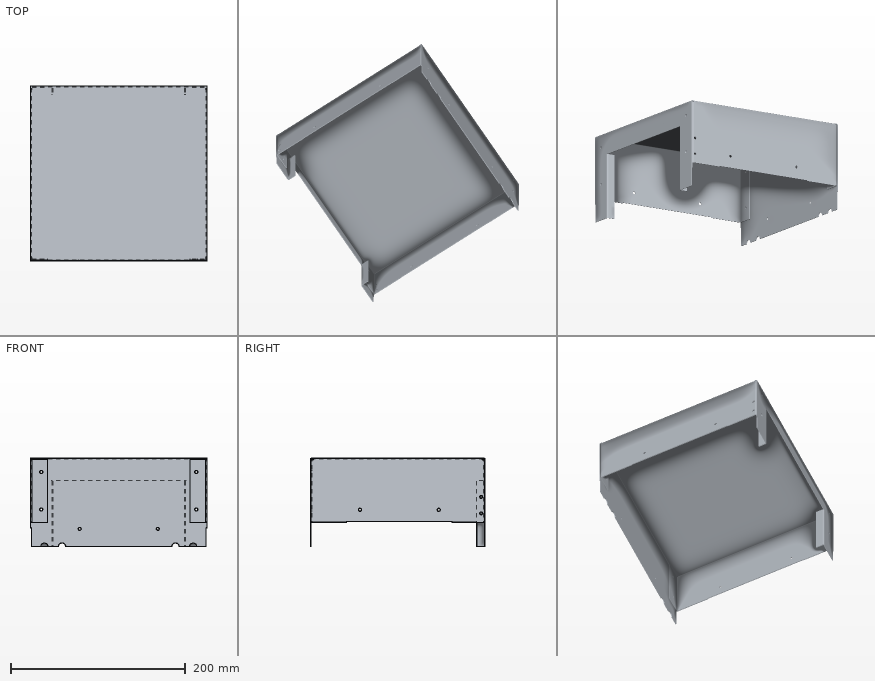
import cadquery as cq

LENGTH_X = 202.0
LENGTH_Y = 200.0
HEIGHT = 101.0

SHEET = 1.0
BEND_OUTER = 1.6
BEND_INNER = BEND_OUTER - SHEET

HALF_X = LENGTH_X / 2
HALF_Y = LENGTH_Y / 2

SIDE_BOTTOM = 27.7
TAB_WIDTH = 19.5
CORNER_RELIEF = 3.2
RECESS_LENGTH = 120.5
RECESS_DEPTH = 0.8
SIDE_CENTRE_Y = 1.8

PLATE_STEP_Z = 21.5
PLATE_STEP_INSET = 1.0

BACK_FRAME = 25.7
FLANGE_DEPTH = 9.9

SCREW_DIAMETER = 3.2
SCREW_INSET = 12.3
SCREW_HEIGHTS = (42.5, 85.3)
PILOT_DIAMETER = 3.0
PILOT_X = 44.6
PILOT_Z = 20.2
SIDE_HOLE_SPACING = 90.0
SIDE_HOLE_Z = 42.0
REAR_HOLE_INSET = 4.6
REAR_HOLE_HEIGHTS = (38.0, 56.8)

NOTCH_DIAMETER = 8.0
NOTCH_INSETS = (16.0, 36.2)


def block(x_range, y_range, z_range):
    """Box spanning the given (low, high) ranges."""
    sizes = [high - low for low, high in (x_range, y_range, z_range)]
    corner = (x_range[0], y_range[0], z_range[0])
    return cq.Workplane("XY").box(*sizes, centered=False).translate(corner)


def rod_x(diameter, y, z, x_range):
    """Cylinder along X."""
    length = x_range[1] - x_range[0]
    return cq.Workplane("YZ", origin=(x_range[0], y, z)).circle(diameter / 2).extrude(length)


def rod_y(diameter, x, z, y_range):
    """Cylinder along Y."""
    length = y_range[1] - y_range[0]
    return cq.Workplane("XZ", origin=(x, y_range[1], z)).circle(diameter / 2).extrude(length)


def roof_and_side_walls():
    """Top sheet with both side walls folded down, short of the plate corners."""
    half_depth = HALF_Y - CORNER_RELIEF
    outer = block((-HALF_X, HALF_X), (-half_depth, half_depth), (SIDE_BOTTOM, HEIGHT))
    outer = outer.edges("|Y and >Z").fillet(BEND_OUTER)
    inner_half_x = HALF_X - SHEET
    inner = block((-inner_half_x, inner_half_x), (-half_depth, half_depth), (SIDE_BOTTOM, HEIGHT - SHEET))
    inner = inner.edges("|Y and >Z").fillet(BEND_INNER)
    return outer.cut(inner)


def side_tabs():
    """Vertical folds of the side walls, lying against the plates from inside."""
    z_range = (SIDE_BOTTOM, HEIGHT - BEND_OUTER)
    half_depth = HALF_Y - SHEET
    outer = block((-HALF_X, HALF_X), (-half_depth, half_depth), z_range)
    outer = outer.edges("|Z").fillet(BEND_OUTER)
    inner_half_x = HALF_X - SHEET
    inner_half_y = half_depth - SHEET
    inner = block((-inner_half_x, inner_half_x), (-inner_half_y, inner_half_y), z_range)
    inner = inner.edges("|Z").fillet(BEND_INNER)
    gap_half_x = HALF_X - TAB_WIDTH
    gap = block((-gap_half_x, gap_half_x), (-half_depth, half_depth), z_range)
    return outer.cut(inner).cut(gap)


def front_and_back_plates():
    """Plates bent down from the top sheet, slightly narrower below the side walls."""
    outer = block((-HALF_X, HALF_X), (-HALF_Y, HALF_Y), (0, HEIGHT))
    outer = outer.edges("|X and >Z").fillet(BEND_OUTER)
    inner_half_y = HALF_Y - SHEET
    inner = block((-HALF_X, HALF_X), (-inner_half_y, inner_half_y), (0, HEIGHT - SHEET))
    inner = inner.edges("|X and >Z").fillet(BEND_INNER)
    roof_half_y = HALF_Y - CORNER_RELIEF
    roof = block((-HALF_X, HALF_X), (-roof_half_y, roof_half_y), (0, HEIGHT))
    plates = outer.cut(inner).cut(roof)
    for low_x in (-HALF_X, HALF_X - PLATE_STEP_INSET):
        step = block((low_x, low_x + PLATE_STEP_INSET), (-HALF_Y, HALF_Y), (0, PLATE_STEP_Z))
        plates = plates.cut(step)
    return plates


def framed_back(body):
    """Open the back plate and fold a flange inward along each upright edge."""
    half_open = HALF_X - BACK_FRAME
    z_range = (0, HEIGHT - BACK_FRAME)
    opening = block((-half_open, half_open), (HALF_Y - SHEET, HALF_Y), z_range)
    body = body.cut(opening)

    bend_end = half_open + 2 * BEND_OUTER
    flange_end = HALF_Y - FLANGE_DEPTH
    square_corner = block((half_open, bend_end), (HALF_Y - SHEET, HALF_Y), z_range)
    outer = block((half_open, bend_end), (flange_end, HALF_Y), z_range)
    outer = outer.edges("(<X and >Y) and |Z").fillet(BEND_OUTER)
    inner = block((half_open + SHEET, bend_end), (flange_end, HALF_Y - SHEET), z_range)
    inner = inner.edges("(<X and >Y) and |Z").fillet(BEND_INNER)
    flange = outer.cut(inner)
    body = body.cut(square_corner).cut(square_corner.mirror("YZ"))
    return body.union(flange).union(flange.mirror("YZ"))


def cut_side_recesses(body):
    """Raise the middle stretch of each side wall's bottom edge."""
    y_range = (SIDE_CENTRE_Y - RECESS_LENGTH / 2, SIDE_CENTRE_Y + RECESS_LENGTH / 2)
    recess = block((-HALF_X, HALF_X), y_range, (SIDE_BOTTOM, SIDE_BOTTOM + RECESS_DEPTH))
    return body.cut(recess)


def cut_holes(body):
    """Drill the screw, pilot and side holes and the bottom notches."""
    through_y = (-HALF_Y, HALF_Y)
    through_x = (-HALF_X, HALF_X)
    front_only = (-HALF_Y, -HALF_Y + SHEET)
    for side in (-1, 1):
        for z in SCREW_HEIGHTS:
            body = body.cut(rod_y(SCREW_DIAMETER, side * (HALF_X - SCREW_INSET), z, through_y))
        body = body.cut(rod_y(PILOT_DIAMETER, side * PILOT_X, PILOT_Z, front_only))
        for inset in NOTCH_INSETS:
            body = body.cut(rod_y(NOTCH_DIAMETER, side * (HALF_X - inset), 0, front_only))
        side_hole_y = SIDE_CENTRE_Y + side * SIDE_HOLE_SPACING / 2
        body = body.cut(rod_x(SCREW_DIAMETER, side_hole_y, SIDE_HOLE_Z, through_x))
        wall_range = (-HALF_X, -HALF_X + SHEET) if side < 0 else (HALF_X - SHEET, HALF_X)
        for z in REAR_HOLE_HEIGHTS:
            body = body.cut(rod_x(SCREW_DIAMETER, HALF_Y - REAR_HOLE_INSET, z, wall_range))
    return body


cover = roof_and_side_walls().union(side_tabs()).union(front_and_back_plates())
cover = framed_back(cover)
cover = cut_side_recesses(cover)
result = cut_holes(cover)